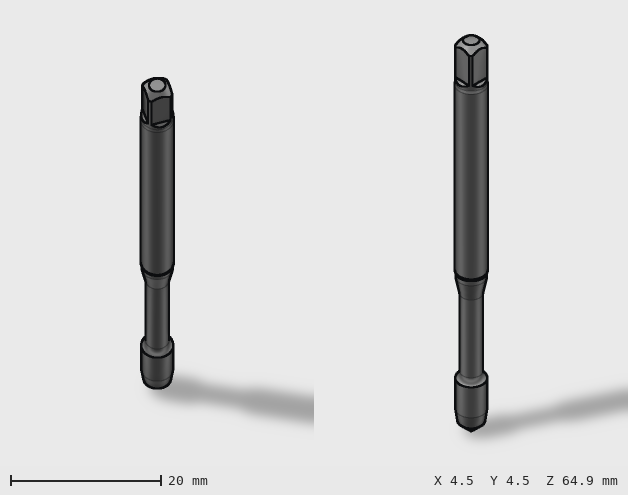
import cadquery as cq

total_length = 64.9
point_height = 1.9
thread_start_z = 3.8
thread_end_z = 8.9
neck_start_z = 10.05
neck_end_z = 22.95
collar_start_z = 25.7
collar_end_z = 26.5
shank_start_z = 26.85
shank_end_z = 57.55
drive_start_z = 58.0
flat_start_z = 58.9

shank_diameter = 4.5
thread_diameter = 4.3
collar_diameter = 4.2
drive_diameter = 4.3
neck_diameter = 3.2

square_width = 3.4
drive_top_diameter = 2.2

shank_radius = shank_diameter / 2
thread_radius = thread_diameter / 2
collar_radius = collar_diameter / 2
drive_radius = drive_diameter / 2
neck_radius = neck_diameter / 2
drive_top_radius = drive_top_diameter / 2
point_radius = point_height


def make_cutting_head():
    """Threaded section with a tapered lead and a conical point."""
    return (
        cq.Workplane("XZ")
        .lineTo(point_radius, point_height)
        .lineTo(thread_radius, thread_start_z)
        .lineTo(thread_radius, thread_end_z)
        .lineTo(0, thread_end_z)
        .close()
        .revolve(360, (0, 0, 0), (0, 1, 0))
    )


def make_turned_shank():
    """Neck flared onto the head, collar, shank and round drive blank."""
    flare_width = thread_radius - neck_radius
    flare_height = neck_start_z - thread_end_z
    flare_radius = (flare_width**2 + flare_height**2) / (2 * flare_width)
    drive_chamfer = drive_radius - drive_top_radius
    return (
        cq.Workplane("XZ")
        .moveTo(0, thread_end_z)
        .lineTo(thread_radius, thread_end_z)
        .radiusArc((neck_radius, neck_start_z), flare_radius)
        .lineTo(neck_radius, neck_end_z)
        .lineTo(collar_radius, collar_start_z)
        .lineTo(collar_radius, collar_end_z)
        .lineTo(shank_radius, shank_start_z)
        .lineTo(shank_radius, shank_end_z)
        .lineTo(drive_radius, drive_start_z)
        .lineTo(drive_radius, total_length - drive_chamfer)
        .lineTo(drive_top_radius, total_length)
        .lineTo(0, total_length)
        .close()
        .revolve(360, (0, 0, 0), (0, 1, 0))
    )


def make_flat_cutter():
    """Material removed for one drive flat, with a 45 degree run-out at its foot."""
    flat_distance = square_width / 2
    runout = shank_radius - flat_distance
    return (
        cq.Workplane("XZ")
        .moveTo(flat_distance, flat_start_z)
        .lineTo(shank_radius, flat_start_z - runout)
        .lineTo(shank_radius, total_length)
        .lineTo(flat_distance, total_length)
        .close()
        .extrude(shank_radius, both=True)
    )


def make_shank():
    """Turned shank with four flats forming the square drive."""
    body = make_turned_shank()
    flat_count = 4
    for index in range(flat_count):
        angle = index * 360 / flat_count
        body = body.cut(make_flat_cutter().rotate((0, 0, 0), (0, 0, 1), angle))
    return body


cutting_head = make_cutting_head()
shank = make_shank()

result = cq.Compound.makeCompound([cutting_head.val(), shank.val()])